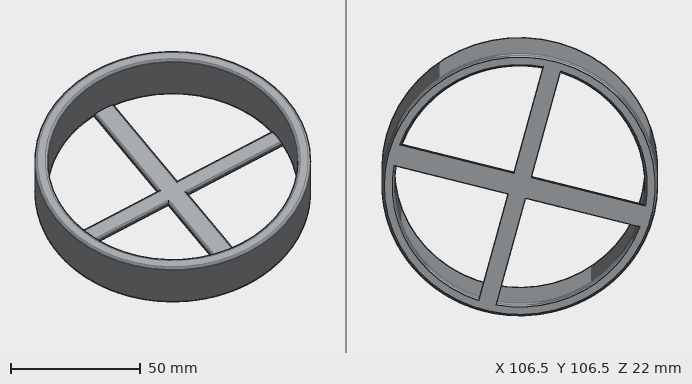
import cadquery as cq

outer_diameter = 106.5
inner_diameter = 96.5
height = 22.0
top_round = 1.0
bottom_chamfer = 1.0
chamfer_blend_radius = 1.3

bar_along_x_width = 8.7
bar_along_y_width = 6.9
bar_thickness = 2.0
bar_round = 0.7

bar_length = (outer_diameter + inner_diameter) / 2


def make_ring():
    ring = cq.Workplane("XY").circle(outer_diameter / 2).circle(inner_diameter / 2).extrude(height)
    ring = ring.faces(">Z").edges().fillet(top_round)
    ring = ring.faces("<Z").edges().chamfer(bottom_chamfer)
    upright_walls = ring.faces("%CYLINDER")
    return upright_walls.edges("<Z").fillet(chamfer_blend_radius)


def make_bar(size_x, size_y):
    return cq.Workplane("XY").rect(size_x, size_y).extrude(bar_thickness)


def make_cross():
    bar_along_x = make_bar(bar_length, bar_along_x_width)
    bar_along_y = make_bar(bar_along_y_width, bar_length)
    cross = bar_along_x.union(bar_along_y)
    return cross.faces(">Z").edges().fillet(bar_round)


result = make_ring().union(make_cross())